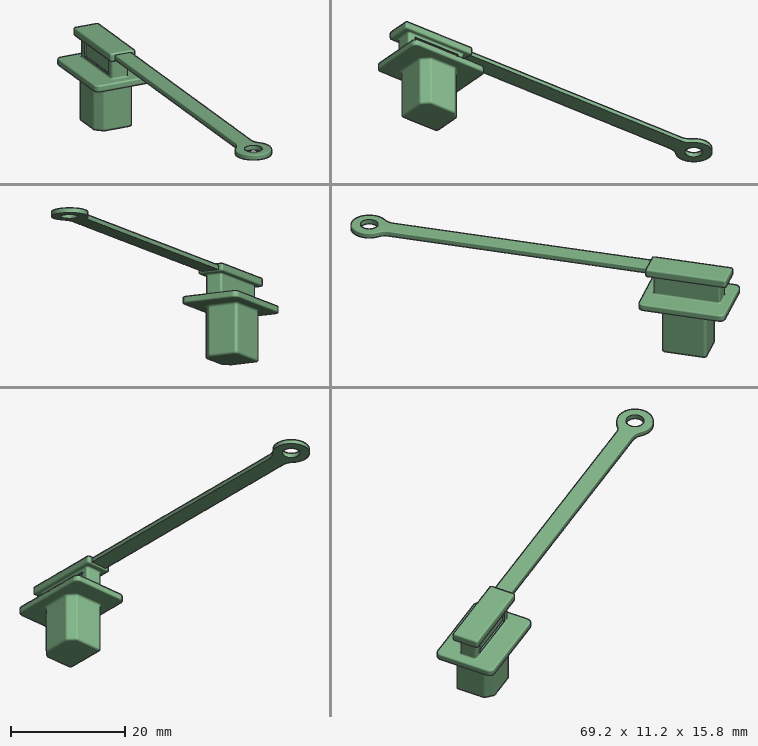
import cadquery as cq
import math

overall_length = 69.15
overall_height = 15.75

flange_length = 15.7
flange_width = 11.2
flange_bottom = 9.2
flange_thickness = 1.25
flange_corner_radius = 1.05
flange_edge_radius = 0.3
flange_center_x = flange_length / 2
flange_top = flange_bottom + flange_thickness

plug_length = 8.1
plug_width = 7.0
plug_key_chamfer = 1.4
plug_corner_radius = 0.55
plug_edge_radius = 0.4
plug_root_radius = 0.4

web_length = 12.2
web_width = 3.2
web_corner_radius = 0.4
web_root_radius = 0.3
cap_length = 14.65
cap_width = 4.9
cap_thickness = 1.5
cap_corner_radius = 0.4
cap_edge_radius = 0.35
cap_bottom = overall_height - cap_thickness

joint_search_margin = 0.1

recess_length = 9.4
recess_height = 2.8
recess_depth = 0.35

strap_width = 3.2
strap_thickness = 0.9
strap_drop = 0.3
eyelet_diameter = 6.4
eyelet_hole_diameter = 3.1
neck_radius = 2.35
strap_edge_radius = 0.17
strap_bottom = overall_height - strap_drop - strap_thickness


def block(length, width, bottom, height):
    """Box centred on the flange, standing on the given level."""
    return (
        cq.Workplane("XY", origin=(flange_center_x, 0, bottom))
        .box(length, width, height, centered=(True, True, False))
    )


def make_flange():
    body = block(flange_length, flange_width, flange_bottom, flange_thickness)
    body = body.edges("|Z").fillet(flange_corner_radius)
    return body.faces("<Z or >Z").edges().fillet(flange_edge_radius)


def make_plug():
    """Plug with its two front corners cut off as a key."""
    body = block(plug_length, plug_width, 0, flange_bottom)
    body = body.faces("<Y").edges("|Z").chamfer(plug_key_chamfer)
    body = body.edges("|Z").fillet(plug_corner_radius)
    return body.faces("<Z").edges().fillet(plug_edge_radius)


def make_web():
    body = block(web_length, web_width, flange_top, cap_bottom - flange_top)
    return body.edges("|Z").fillet(web_corner_radius)


def make_cap():
    body = block(cap_length, cap_width, cap_bottom, cap_thickness)
    body = body.edges("|Z").fillet(cap_corner_radius)
    return body.faces("<Z or >Z").edges().fillet(cap_edge_radius)


def make_strap():
    """Strap that widens through two concave arcs into a round eyelet."""
    eyelet_radius = eyelet_diameter / 2
    eyelet_x = overall_length - eyelet_radius
    half_width = strap_width / 2
    arc_center_y = half_width + neck_radius
    center_distance = eyelet_radius + neck_radius
    arc_center_x = eyelet_x - math.sqrt(center_distance**2 - arc_center_y**2)
    touch_ratio = eyelet_radius / center_distance
    touch_x = eyelet_x + (arc_center_x - eyelet_x) * touch_ratio
    touch_y = arc_center_y * touch_ratio
    touch_angle = math.atan2(touch_y - arc_center_y, touch_x - arc_center_x)
    mid_angle = (touch_angle - math.pi / 2) / 2
    mid_x = arc_center_x + neck_radius * math.cos(mid_angle)
    mid_y = arc_center_y + neck_radius * math.sin(mid_angle)
    body = (
        cq.Workplane("XY", origin=(0, 0, strap_bottom))
        .moveTo(flange_center_x, half_width)
        .lineTo(arc_center_x, half_width)
        .threePointArc((mid_x, mid_y), (touch_x, touch_y))
        .threePointArc((overall_length, 0), (touch_x, -touch_y))
        .threePointArc((mid_x, -mid_y), (arc_center_x, -half_width))
        .lineTo(flange_center_x, -half_width)
        .close()
        .extrude(strap_thickness)
    )
    body = body.faces(">Z").edges().fillet(strap_edge_radius)
    hole = (
        cq.Workplane("XY", origin=(eyelet_x, 0, strap_bottom))
        .circle(eyelet_hole_diameter / 2)
        .extrude(strap_thickness)
    )
    return body.cut(hole)


def make_label_recess():
    web_middle = (flange_top + cap_bottom) / 2
    return (
        cq.Workplane("XY", origin=(flange_center_x, recess_depth / 2 - web_width / 2, web_middle))
        .box(recess_length, recess_depth, recess_height)
    )


def fillet_joint(body, level, length, width, radius):
    """Round the inner corner where a block of this footprint meets the given level."""
    half_x = length / 2 + joint_search_margin
    half_y = width / 2 + joint_search_margin
    joint = cq.selectors.BoxSelector(
        (flange_center_x - half_x, -half_y, level - joint_search_margin),
        (flange_center_x + half_x, half_y, level + joint_search_margin),
    )
    return body.edges(joint).fillet(radius)


result = make_flange().union(make_plug()).union(make_web()).union(make_cap())
result = fillet_joint(result, flange_bottom, plug_length, plug_width, plug_root_radius)
result = fillet_joint(result, flange_top, web_length, web_width, web_root_radius)
result = fillet_joint(result, cap_bottom, web_length, web_width, web_root_radius)
result = result.cut(make_label_recess())
result = result.union(make_strap())